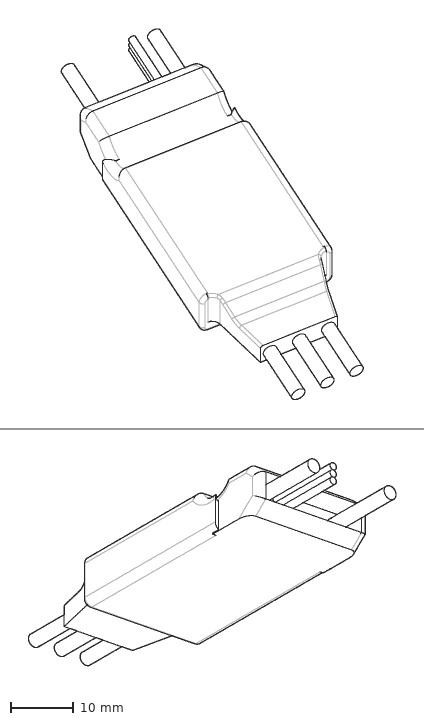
import cadquery as cq
import math


case_height = 9.0
case_width = 24.0
case_end_x = 45.2
head_width = 22.65
head_end_x = 10.4
nose_chamfer_length = 2.7
nose_chamfer_height = 2.1
edge_radius = 1.5
bottom_edge_radius = 1.4
end_edge_radius = 0.7

groove_x = 12.0
groove_radius = 4.0
groove_depth = 2.1

neck_end_x = 56.45
neck_bottom_z = 2.4
neck_top_z = 6.5
slope_start_x = 46.5
slope_end_x = 50.25
slope_radius = 3.0
neck_end_width = 14.0
neck_slope_start_width = 18.35
flare_radius = 1.5
neck_rim_radius = 0.45

pocket_depth = 5.0

lead_length = 10.0
wire_diameter = 2.45
power_wire_y = 7.8
power_wire_z = 4.7
motor_wire_pitch = 5.3
motor_wire_z = 4.35
strand_diameter = 1.3
strand_y = 3.8
strand_row_z = 4.5

tolerance = 0.01
groove_floor_z = case_height - groove_depth
groove_center_z = groove_floor_z + groove_radius
groove_half_width = math.sqrt(groove_radius**2 - (groove_center_z - case_height) ** 2)
neck_taper = (neck_slope_start_width - neck_end_width) / 2 / (neck_end_x - slope_start_x)
neck_taper_angle = math.atan(neck_taper)


def extrude_across(profile, width):
    """Extrude an open XZ outline, once closed, to a width centered on Y = 0."""
    return profile.close().extrude(width / 2, both=True)


def round_edges(solid, radius, wanted):
    """Fillet the edges of a solid for which wanted(edge) is true."""
    edges = [edge for edge in solid.edges().vals() if wanted(edge)]
    return solid.newObject(edges).fillet(radius)


def lies_in_side(edge):
    """True for an edge in one of the flat side faces."""
    return edge.BoundingBox().ylen < tolerance


def is_above_bottom(edge):
    return edge.Center().z > tolerance


def groove_height(x):
    """Height of the groove surface at a given X."""
    return groove_center_z - math.sqrt(groove_radius**2 - (x - groove_x) ** 2)


def make_head():
    """Narrow rear block with a chamfered nose, reaching to the middle of the groove."""
    outline = (
        cq.Workplane("XZ")
        .moveTo(groove_x, 0)
        .lineTo(nose_chamfer_length, 0)
        .lineTo(0, nose_chamfer_height)
        .lineTo(0, case_height - nose_chamfer_height)
        .lineTo(nose_chamfer_length, case_height)
        .lineTo(groove_x - groove_half_width, case_height)
        .radiusArc((groove_x, groove_floor_z), -groove_radius)
    )
    head = extrude_across(outline, head_width)

    def is_outer_edge(edge):
        return lies_in_side(edge) and is_above_bottom(edge) and edge.Center().x < groove_x - tolerance

    return round_edges(head, edge_radius, is_outer_edge)


def make_main():
    """Wide block holding the rest of the groove, with rounded long and front edges."""
    outline = (
        cq.Workplane("XZ")
        .moveTo(head_end_x, 0)
        .lineTo(head_end_x, groove_height(head_end_x))
        .radiusArc((groove_x + groove_half_width, case_height), -groove_radius)
        .lineTo(case_end_x, case_height)
        .lineTo(case_end_x, 0)
    )
    main = extrude_across(outline, case_width)

    def is_long_edge(edge):
        return lies_in_side(edge) and head_end_x + tolerance < edge.Center().x < case_end_x - tolerance

    def is_bottom_edge(edge):
        return is_long_edge(edge) and not is_above_bottom(edge)

    def is_upper_edge(edge):
        return is_long_edge(edge) and is_above_bottom(edge)

    main = round_edges(main, edge_radius, is_upper_edge)
    main = round_edges(main, bottom_edge_radius, is_bottom_edge)
    main = main.faces(">X").edges().fillet(end_edge_radius)
    return main.cut(make_start_miter())


def make_start_miter():
    """Cutter that miters the start of the main block, above the side edges of the groove."""
    miter = groove_x - head_end_x
    half_width = case_width / 2
    return (
        cq.Workplane("XY", origin=(0, 0, groove_floor_z - edge_radius))
        .moveTo(head_end_x, -half_width)
        .lineTo(groove_x, miter - half_width)
        .lineTo(groove_x, half_width - miter)
        .lineTo(head_end_x, half_width)
        .close()
        .extrude(case_height)
    )


def neck_half_width(x):
    return neck_end_width / 2 + neck_taper * (neck_end_x - x)


def make_neck():
    """Tapered, flared plan cut to a profile that slopes down to the front."""
    back_x = case_end_x - end_edge_radius
    flare_center_x = case_end_x + flare_radius
    flare_center_y = neck_half_width(flare_center_x) + flare_radius / math.cos(neck_taper_angle)

    def flare_point(angle):
        x = flare_center_x - flare_radius * math.cos(angle)
        y = flare_center_y - flare_radius * math.sin(angle)
        return x, y

    sweep = math.pi / 2 - neck_taper_angle
    start_x, start_y = flare_point(0)
    middle_x, middle_y = flare_point(sweep / 2)
    end_x, end_y = flare_point(sweep)
    plan = (
        cq.Workplane("XY")
        .moveTo(back_x, -start_y)
        .lineTo(start_x, -start_y)
        .threePointArc((middle_x, -middle_y), (end_x, -end_y))
        .lineTo(neck_end_x, -neck_end_width / 2)
        .lineTo(neck_end_x, neck_end_width / 2)
        .lineTo(end_x, end_y)
        .threePointArc((middle_x, middle_y), (start_x, start_y))
        .lineTo(back_x, start_y)
        .close()
        .extrude(case_height)
    )
    outline = (
        cq.Workplane("XZ")
        .moveTo(back_x, neck_bottom_z)
        .lineTo(back_x, case_height)
        .lineTo(slope_start_x, case_height)
        .lineTo(slope_end_x, neck_top_z)
        .lineTo(neck_end_x, neck_top_z)
        .lineTo(neck_end_x, neck_bottom_z)
    )
    profile = extrude_across(outline, case_width)

    def is_slope_edge(edge):
        in_range = slope_start_x - tolerance < edge.Center().x < slope_end_x + tolerance
        return in_range and not lies_in_side(edge)

    profile = round_edges(profile, slope_radius, is_slope_edge)
    neck = profile.intersect(plan)

    def is_rim_edge(edge):
        box = edge.BoundingBox()
        runs_along_rim = box.xlen > tolerance and box.ylen > tolerance
        return runs_along_rim and box.zmin > neck_top_z - tolerance

    return round_edges(neck, neck_rim_radius, is_rim_edge)


def make_pocket():
    """Rectangular pocket taking in the whole flat part of the rear face."""
    height = case_height - 2 * nose_chamfer_height
    width = head_width - 2 * edge_radius
    return (
        cq.Workplane("XY")
        .box(pocket_depth, width, height, centered=(False, True, False))
        .translate((0, 0, nose_chamfer_height))
    )


def make_lead(start_x, end_x, y, z, diameter):
    """Straight round lead along X."""
    return cq.Workplane("YZ", origin=(start_x, y, z)).circle(diameter / 2).extrude(end_x - start_x)


def make_rear_lead(y, z, diameter):
    """Lead running from behind the case to the inner wall of the pocket."""
    return make_lead(-lead_length, pocket_depth, y, z, diameter)


def make_motor_wire(y):
    """Wire running forward from the end of the neck."""
    return make_lead(neck_end_x, neck_end_x + lead_length, y, motor_wire_z, wire_diameter)


def make_housing():
    """Case with its neck, two power wires at the rear and three motor wires at the front."""
    housing = make_head().union(make_main()).union(make_neck()).cut(make_pocket())
    for side in (-1, 1):
        housing = housing.union(make_rear_lead(side * power_wire_y, power_wire_z, wire_diameter))
    for index in (-1, 0, 1):
        housing = housing.union(make_motor_wire(index * motor_wire_pitch))
    return housing


def make_strand(index):
    """One strand of the signal lead; neighbors in the upright stack touch."""
    return make_rear_lead(strand_y, strand_row_z + index * strand_diameter, strand_diameter)


housing = make_housing()
strands = [make_strand(index) for index in (-1, 0, 1)]
result = cq.Compound.makeCompound([housing.val(), *[strand.val() for strand in strands]])